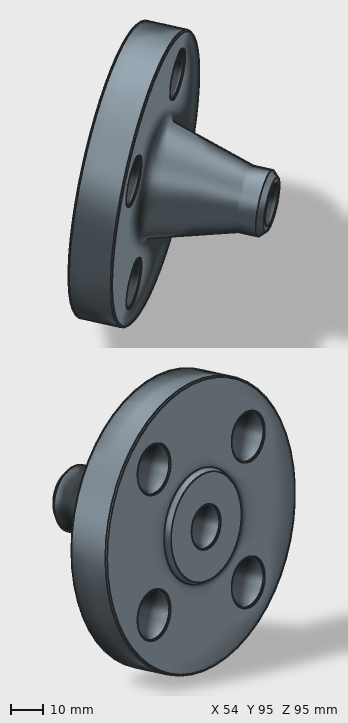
import cadquery as cq
import math

total_length = 54.0
flange_diameter = 95
flange_front = 2.0
flange_back = 16.3
flange_chamfer = 0.5

face_tip_radius = 17.6
face_base_radius = 18.6

hub_diameter = 21.3
hub_angle = 16.1
cone_end = 45.6
root_fillet = 3.0
neck_fillet = 2.0
weld_bevel_length = 2.0
weld_bevel_height = 1.9

bore_diameter = 13.9
bore_chamfer = 0.4
bolt_hole_diameter = 15.9
bolt_hole_chamfer = 0.4
bolt_circle_diameter = 66.7
bolt_count = 4

flange_radius = flange_diameter / 2
hub_radius = hub_diameter / 2
cone_base_radius = hub_radius + (cone_end - flange_back) * math.tan(math.radians(hub_angle))
weld_bevel_start = total_length - weld_bevel_length


def revolve_x(profile):
    """Revolve a closed (X, radius) profile about the X axis."""
    return profile.revolve(360, (0, 0, 0), (1, 0, 0))


def chamfered_hole(diameter, chamfer, start, end, front_only=False):
    """Cutter along X, widened by a 45 degree chamfer at its open ends."""
    radius = diameter / 2
    points = [
        (start, 0),
        (start, radius + chamfer),
        (start + chamfer, radius),
    ]
    if front_only:
        points += [(end, radius)]
    else:
        points += [(end - chamfer, radius), (end, radius + chamfer)]
    points += [(end, 0)]
    return revolve_x(cq.Workplane("XY").polyline(points).close())


flange = revolve_x(
    cq.Workplane("XY").polyline([
        (0, 0),
        (0, face_tip_radius),
        (flange_front, face_base_radius),
        (flange_front, flange_radius - flange_chamfer),
        (flange_front + flange_chamfer, flange_radius),
        (flange_back - flange_chamfer, flange_radius),
        (flange_back, flange_radius - flange_chamfer),
        (flange_back, 0),
    ]).close()
)

hub = revolve_x(
    cq.Workplane("XY").polyline([
        (flange_back, 0),
        (flange_back, cone_base_radius),
        (cone_end, hub_radius),
        (weld_bevel_start, hub_radius),
        (total_length, hub_radius - weld_bevel_height),
        (total_length, 0),
    ]).close()
)
body = flange.union(hub)


def fillet_circle(solid, x, radius, fillet):
    """Round the circular edge of the given radius at position x."""
    tolerance = 0.05
    reach = radius + tolerance
    box = cq.selectors.BoxSelector(
        (x - tolerance, -reach, -reach), (x + tolerance, reach, reach), boundingbox=True
    )
    return solid.edges(box).fillet(fillet)


body = fillet_circle(body, flange_back, cone_base_radius, root_fillet)
body = fillet_circle(body, cone_end, hub_radius, neck_fillet)

body = body.cut(chamfered_hole(bore_diameter, bore_chamfer, 0, total_length, front_only=True))

bolt_hole = chamfered_hole(bolt_hole_diameter, bolt_hole_chamfer, flange_front, flange_back)
bolt_hole = bolt_hole.translate((0, bolt_circle_diameter / 2, 0))
for index in range(bolt_count):
    angle = (index + 0.5) * 360 / bolt_count
    body = body.cut(bolt_hole.rotate((0, 0, 0), (1, 0, 0), angle))

result = body